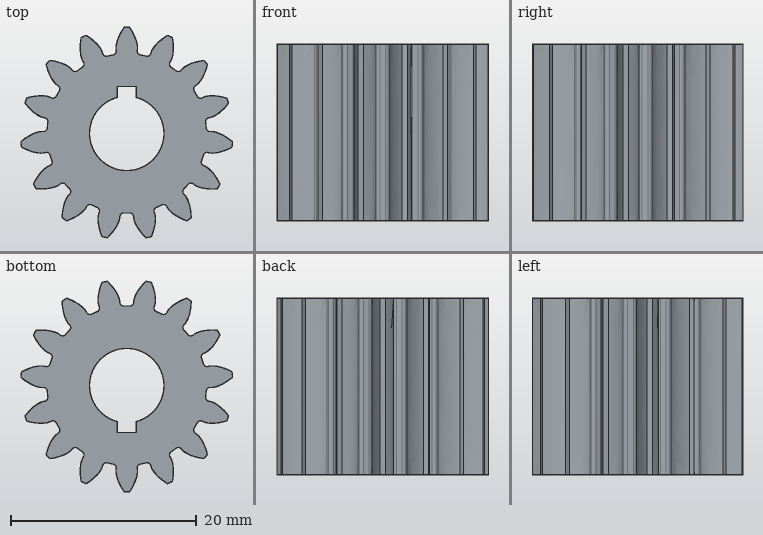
import math
import cadquery as cq

teeth = 15
millimetres_per_inch = 25.4
diametral_pitch = 20
module = millimetres_per_inch / diametral_pitch
pressure_angle = math.radians(14.5)
profile_shift = 0.5
tip_radius = 11.454
root_radius = 8.6
root_fillet = 0.4
face_width = 19.05

bore_diameter = 8.0
keyway_width = 2.0
keyway_top = 5.05

flank_points = 7

pitch_radius = module * teeth / 2
base_radius = pitch_radius * math.cos(pressure_angle)
tooth_pitch_angle = 2 * math.pi / teeth
gap_centre_angle = tooth_pitch_angle / 2


def involute(angle):
    return math.tan(angle) - angle


pitch_half_angle = (math.pi / 2 + 2 * profile_shift * math.tan(pressure_angle)) / teeth
base_half_angle = pitch_half_angle + involute(pressure_angle)


def polar(radius, angle):
    """Point at an angle measured from +Y towards +X."""
    return (radius * math.sin(angle), radius * math.cos(angle))


def flank_half_angle(radius):
    """Half of the angle a tooth covers at a radius on its involute flank."""
    return base_half_angle - involute(math.acos(base_radius / radius))


def make_tooth_gap():
    """Solid that fills the gap next to the +Y tooth, with rounded root corners."""
    tip_roll = math.sqrt((tip_radius / base_radius) ** 2 - 1)
    rolls = [tip_roll * i / (flank_points - 1) for i in range(flank_points)]
    radii = [base_radius * math.sqrt(1 + roll**2) for roll in rolls]
    near_flank = [polar(r, flank_half_angle(r)) for r in radii]
    far_flank = [polar(r, tooth_pitch_angle - flank_half_angle(r)) for r in reversed(radii)]

    near_base_direction = polar(1, base_half_angle)
    near_tip_direction = polar(1, base_half_angle - tip_roll)
    far_tip_direction = polar(-1, tooth_pitch_angle - base_half_angle + tip_roll)
    far_base_direction = polar(-1, tooth_pitch_angle - base_half_angle)

    near_root = polar(root_radius, base_half_angle)
    far_root = polar(root_radius, tooth_pitch_angle - base_half_angle)
    root_middle = polar(root_radius, gap_centre_angle)
    outer_point = polar(tip_radius + module, gap_centre_angle)

    gap = (
        cq.Workplane("XY")
        .moveTo(*near_root)
        .lineTo(*near_flank[0])
        .spline(near_flank[1:], tangents=[near_base_direction, near_tip_direction], includeCurrent=True)
        .lineTo(*outer_point)
        .lineTo(*far_flank[0])
        .spline(far_flank[1:], tangents=[far_tip_direction, far_base_direction], includeCurrent=True)
        .lineTo(*far_root)
        .threePointArc(root_middle, near_root)
        .close()
        .extrude(face_width)
    )
    for x, y in (near_root, far_root):
        root_corner = cq.selectors.NearestToPointSelector((x, y, face_width / 2))
        gap = gap.edges("|Z").edges(root_corner).fillet(root_fillet)
    return gap


def cut_teeth(blank):
    gap = make_tooth_gap()
    for i in range(teeth):
        blank = blank.cut(gap.rotate((0, 0, 0), (0, 0, 1), i * 360 / teeth))
    return blank


def cut_keyed_bore(gear):
    bore = cq.Workplane("XY").circle(bore_diameter / 2).extrude(face_width)
    keyway = (
        cq.Workplane("XY")
        .rect(keyway_width, keyway_top, centered=(True, False))
        .extrude(face_width)
    )
    return gear.cut(bore.union(keyway))


gear_blank = cq.Workplane("XY").circle(tip_radius).extrude(face_width)
result = cut_keyed_bore(cut_teeth(gear_blank))